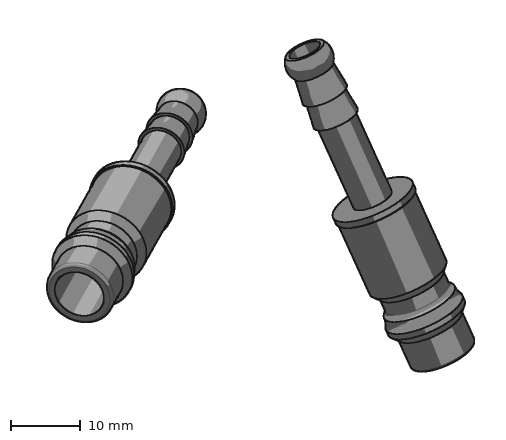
import cadquery as cq

total_length = 51.0

plug_radius = 5.0
tip_round = 0.45
ring_radius = 6.0
ring_ramp_start = 5.0
ramp_length = 1.2
ring_width = 0.9
groove_radius = 5.55
groove_length = 1.75
shoulder_length = 0.85

body_radius = ring_radius
body_start = 13.0
flange_radius = 6.25
flange_width = 1.0
flange_end = 26.0

stem_radius = 3.0
barb_radius = 3.45
barb_length = 4.0
barb_count = 2
bulb_radius = 3.6
bulb_length = 3.4

plug_bore_radius = 3.65
through_radius = 2.4
plug_bore_depth = flange_end - flange_width

ring_start = ring_ramp_start + ramp_length
ring_end = ring_start + ring_width
groove_end = ring_end + groove_length
shoulder_end = groove_end + shoulder_length
bulb_start = total_length - bulb_length
barbs_start = bulb_start - barb_count * barb_length

flank_hollow = 0.13
groove_mid = ((ring_radius + groove_radius) / 2 - flank_hollow, ring_end + groove_length / 2)
shoulder_mid = ((groove_radius + plug_radius) / 2 - flank_hollow, groove_end + shoulder_length / 2)


def outer_profile():
    """Half outline in the XY plane, from the plug tip up to the bulb end."""
    outline = (
        cq.Workplane("XY")
        .lineTo(plug_radius - tip_round, 0)
        .radiusArc((plug_radius, tip_round), -tip_round)
        .lineTo(plug_radius, ring_ramp_start)
        .lineTo(ring_radius, ring_start)
        .lineTo(ring_radius, ring_end)
        .threePointArc(groove_mid, (groove_radius, groove_end))
        .threePointArc(shoulder_mid, (plug_radius, shoulder_end))
        .lineTo(plug_radius, body_start - ramp_length)
        .lineTo(body_radius, body_start)
        .lineTo(body_radius, flange_end - flange_width)
        .lineTo(flange_radius, flange_end - flange_width)
        .lineTo(flange_radius, flange_end)
        .lineTo(stem_radius, flange_end)
        .lineTo(stem_radius, barbs_start)
    )
    for barb in range(barb_count):
        barb_start = barbs_start + barb * barb_length
        outline = outline.lineTo(barb_radius, barb_start).lineTo(stem_radius, barb_start + barb_length)
    bulb_mid = (bulb_radius, bulb_start + bulb_length / 2)
    return outline.threePointArc(bulb_mid, (stem_radius, total_length)).lineTo(0, total_length).close()


def bore(radius, depth):
    """Cylinder along Y from the plug tip."""
    return cq.Workplane("XZ").circle(radius).extrude(-depth)


fitting = outer_profile().revolve(360, (0, 0, 0), (0, 1, 0))
result = fitting.cut(bore(plug_bore_radius, plug_bore_depth)).cut(bore(through_radius, total_length))